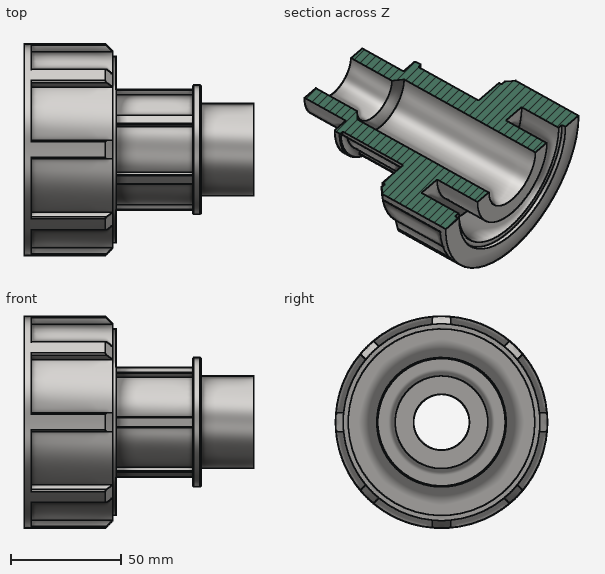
import cadquery as cq

TOTAL_LENGTH = 104.0
RIM_LENGTH = 3.3
NUT_LENGTH = 40.1
COLLAR_END = 41.6
FLANGE_START = 76.3
FLANGE_END = 80.1

RIM_DIAMETER = 96.0
NUT_BODY_DIAMETER = 89.0
COLLAR_DIAMETER = 84.5
BARREL_DIAMETER = 50.0
FLANGE_DIAMETER = 58.7
SPIGOT_DIAMETER = 41.9
FLANGE_CHAMFER = 0.5

GRIP_RIB_COUNT = 8
GRIP_RIB_WIDTH = 8.4
GRIP_RIB_CHAMFER = 0.8

BARREL_RIB_COUNT = 6
BARREL_RIB_WIDTH = 5.0
BARREL_RIB_TIP_DIAMETER = 54.7
BARREL_RIB_CHAMFER = 0.4

MOUTH_DIAMETER = 76.8
MOUTH_DEPTH = 2.0
CAVITY_DIAMETER = 72.0
CAVITY_DEPTH = 23.5
SLEEVE_DIAMETER = BARREL_DIAMETER

ENTRY_BORE_DIAMETER = 33.5
EXIT_BORE_DIAMETER = 25.2
CONE_START = FLANGE_START
CONE_END = FLANGE_END


def cylinder(diameter, start, end):
    """Cylinder on the X axis between two stations."""
    return cq.Workplane("YZ").workplane(offset=start).circle(diameter / 2).extrude(end - start)


def cone(start_diameter, end_diameter, start, end):
    """Truncated cone on the X axis between two stations."""
    solid = cq.Solid.makeCone(
        start_diameter / 2, end_diameter / 2, end - start, cq.Vector(start, 0, 0), cq.Vector(1, 0, 0)
    )
    return cq.Workplane(solid)


def radial_rib(width, tip_radius, tip_chamfer, start, end):
    """Flat-sided rib reaching from the axis along +Y, its two outer long edges chamfered."""
    return (
        cq.Workplane("YZ")
        .workplane(offset=start)
        .center(tip_radius / 2, 0)
        .rect(tip_radius, width)
        .extrude(end - start)
        .faces(">Y")
        .edges("|X")
        .chamfer(tip_chamfer)
    )


def add_ribs(body, rib, count):
    """Join equally spaced copies of a rib around the X axis to a body."""
    for index in range(count):
        body = body.union(rib.rotate((0, 0, 0), (1, 0, 0), index * 360 / count))
    return body


def make_nut():
    """Ribbed nut with a full rim; the rib ends slope down to the nut body."""
    rim_radius = RIM_DIAMETER / 2
    slope_run = (RIM_DIAMETER - NUT_BODY_DIAMETER) / 2
    slope_start = NUT_LENGTH - slope_run
    rib = radial_rib(GRIP_RIB_WIDTH, rim_radius, GRIP_RIB_CHAMFER, 0, NUT_LENGTH)
    envelope = cylinder(RIM_DIAMETER, 0, slope_start).union(
        cone(RIM_DIAMETER, NUT_BODY_DIAMETER, slope_start, NUT_LENGTH)
    )
    nut = add_ribs(cylinder(NUT_BODY_DIAMETER, 0, NUT_LENGTH), rib, GRIP_RIB_COUNT)
    return nut.intersect(envelope).union(cylinder(RIM_DIAMETER, 0, RIM_LENGTH))


def make_tail():
    """Collar, ribbed barrel, flange and plain spigot behind the nut."""
    barrel = cylinder(BARREL_DIAMETER, NUT_LENGTH, FLANGE_START)
    tip_radius = BARREL_RIB_TIP_DIAMETER / 2
    rib = radial_rib(BARREL_RIB_WIDTH, tip_radius, BARREL_RIB_CHAMFER, NUT_LENGTH, FLANGE_START)
    tail = add_ribs(barrel, rib, BARREL_RIB_COUNT)
    tail = tail.union(cylinder(COLLAR_DIAMETER, NUT_LENGTH, COLLAR_END))
    flange = cylinder(FLANGE_DIAMETER, FLANGE_START, FLANGE_END).edges().chamfer(FLANGE_CHAMFER)
    return tail.union(flange).union(cylinder(SPIGOT_DIAMETER, FLANGE_START, TOTAL_LENGTH))


def make_cavity():
    """Stepped ring-shaped space that leaves the inner sleeve standing."""
    cavity = cylinder(MOUTH_DIAMETER, 0, MOUTH_DEPTH).union(cylinder(CAVITY_DIAMETER, 0, CAVITY_DEPTH))
    return cavity.cut(cylinder(SLEEVE_DIAMETER, 0, CAVITY_DEPTH))


def make_bore():
    """Through passage that narrows towards the spigot end."""
    entry = cylinder(ENTRY_BORE_DIAMETER, 0, CONE_START)
    taper = cone(ENTRY_BORE_DIAMETER, EXIT_BORE_DIAMETER, CONE_START, CONE_END)
    outlet = cylinder(EXIT_BORE_DIAMETER, CONE_END, TOTAL_LENGTH)
    return entry.union(taper).union(outlet)


result = make_nut().union(make_tail()).cut(make_cavity()).cut(make_bore())